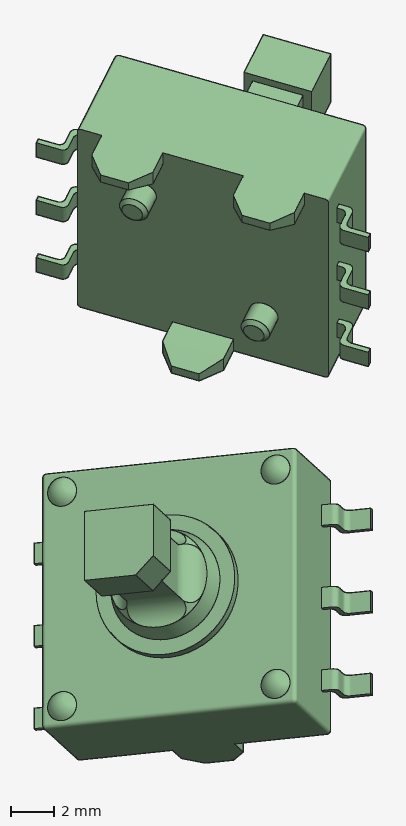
import cadquery as cq
import math


housing_side = 12.4
housing_depth = 5.0
housing_round = 0.2

tab_width = 3.02
tab_thickness = 0.82
tab_length = 2.3
tab_straight = 1.28
tab_tip_width = 1.38
tab_tip_thickness = 0.5
tab_offset = 3.5

peg_radius = 0.7
peg_length = 1.3
peg_chamfer = 0.2
peg_offset = 3.0

lead_span = 16.4
lead_width = 1.0
lead_thickness = 0.26
lead_pitch = 4.0
lead_top = 1.35
lead_foot_drop = 0.1
lead_shin_outer = 6.97
lead_bend_radius = 0.28

dome_offset = 5.2
dome_radius = 0.7
dome_height = 0.36

flange_radius = 3.38
flange_height = 0.5
collar_base_radius = 2.65
collar_top_radius = 2.36
collar_top = 1.5
shaft_side = 2.5
neck_radius = 1.0
neck_corner_radius = 1.89
cap_side = 3.35
cap_length = 2.5
tip_height = 7.2

half_side = housing_side / 2
actuator_end = housing_depth + tip_height


def xz_plane(y):
    """Sketch plane at height y: local x is X, local y is Z, and extrusion goes along +Y."""
    return cq.Workplane(cq.Plane(origin=(0, y, 0), xDir=(1, 0, 0), normal=(0, 1, 0)))


def block(width, height, y_start, length):
    return xz_plane(y_start).rect(width, height).extrude(length)


def rod(radius, y_start, length):
    return xz_plane(y_start).circle(radius).extrude(length)


def make_housing():
    housing = block(housing_side, housing_side, 0, housing_depth)
    housing = housing.edges("|Y").fillet(housing_round)
    return housing.faces(">Y").edges().fillet(housing_round)


def make_tab():
    """Tab flush with the +Z face: its tip narrows from both sides and thins from the inner face."""
    outline = (
        cq.Workplane("XY")
        .workplane(offset=half_side - tab_thickness)
        .moveTo(-tab_width / 2, 0)
        .lineTo(-tab_width / 2, -tab_straight)
        .lineTo(-tab_tip_width / 2, -tab_length)
        .lineTo(tab_tip_width / 2, -tab_length)
        .lineTo(tab_width / 2, -tab_straight)
        .lineTo(tab_width / 2, 0)
        .close()
        .extrude(tab_thickness)
    )
    profile = (
        cq.Workplane("YZ")
        .moveTo(0, half_side)
        .lineTo(-tab_length, half_side)
        .lineTo(-tab_length, half_side - tab_tip_thickness)
        .lineTo(-tab_straight, half_side - tab_thickness)
        .lineTo(0, half_side - tab_thickness)
        .close()
        .extrude(tab_width / 2, both=True)
    )
    return outline.intersect(profile)


def make_peg():
    return rod(peg_radius, -peg_length, peg_length).faces("<Y").chamfer(peg_chamfer)


def make_lead():
    """Gull-wing lead on the +X side, centred on Z = 0."""
    shin_inner = lead_shin_outer - lead_thickness
    foot_top = lead_thickness - lead_foot_drop
    lead = (
        cq.Workplane("XY")
        .workplane(offset=-lead_width / 2)
        .moveTo(half_side, lead_top)
        .lineTo(lead_shin_outer, lead_top)
        .lineTo(lead_shin_outer, foot_top)
        .lineTo(lead_span / 2, foot_top)
        .lineTo(lead_span / 2, -lead_foot_drop)
        .lineTo(shin_inner, -lead_foot_drop)
        .lineTo(shin_inner, lead_top - lead_thickness)
        .lineTo(half_side, lead_top - lead_thickness)
        .close()
        .extrude(lead_width)
    )
    clearance = lead_thickness / 2
    bends = cq.selectors.BoxSelector(
        (half_side + clearance, -lead_span, -lead_span),
        (lead_span / 2 - clearance, lead_span, lead_span),
    )
    return lead.edges("|Z").edges(bends).fillet(lead_bend_radius)


def make_dome():
    sphere_radius = (dome_radius**2 + dome_height**2) / (2 * dome_height)
    ball = cq.Workplane("XY").sphere(sphere_radius)
    return ball.translate((0, housing_depth + dome_height - sphere_radius, 0))


def revolve_about_y(profile):
    return profile.close().revolve(360, (0, 0, 0), (0, 1, 0))


def make_neck(base):
    """Concave flare that blends the square shaft into the round top of the collar at Y = base."""
    half_shaft = shaft_side / 2
    neck_top = base + neck_radius
    toe = half_shaft + neck_radius
    arc_inset = neck_radius * (1 - math.sqrt(0.5))
    cove = (
        cq.Workplane("XY")
        .moveTo(-toe, base)
        .threePointArc((-half_shaft - arc_inset, base + arc_inset), (-half_shaft, neck_top))
        .lineTo(half_shaft, neck_top)
        .threePointArc((half_shaft + arc_inset, base + arc_inset), (toe, base))
        .close()
        .extrude(toe, both=True)
    )
    square_flare = cove.intersect(cove.rotate((0, 0, 0), (0, 1, 0), 90))
    round_flare = revolve_about_y(
        cq.Workplane("XY")
        .moveTo(0, base)
        .lineTo(collar_top_radius, base)
        .radiusArc((half_shaft * math.sqrt(2), neck_top), neck_corner_radius)
        .lineTo(0, neck_top)
    )
    return square_flare.intersect(round_flare)


def make_collar(base):
    top = housing_depth + collar_top
    return revolve_about_y(
        cq.Workplane("XY")
        .moveTo(0, base)
        .lineTo(collar_base_radius, base)
        .lineTo(collar_top_radius, top)
        .lineTo(0, top)
    )


def make_cap():
    """Square cap with one lower corner cut back to the corner of the shaft."""
    cap = block(cap_side, cap_side, actuator_end - cap_length, cap_length)
    return cap.edges("|Y").edges("<X").edges("<Z").chamfer(cap_side - shaft_side)


def make_actuator():
    collar_start = housing_depth + flange_height
    collar_end = housing_depth + collar_top
    shaft_length = actuator_end - cap_length - collar_end
    flange = rod(flange_radius, housing_depth, flange_height)
    shaft = block(shaft_side, shaft_side, collar_end, shaft_length)
    stem = flange.union(make_collar(collar_start)).union(make_neck(collar_end))
    return stem.union(shaft).union(make_cap())


result = make_housing().union(make_actuator())

tab = make_tab()
for x in (-tab_offset, tab_offset):
    result = result.union(tab.translate((x, 0, 0)))
result = result.union(tab.mirror("XY"))

peg = make_peg()
for side in (-1, 1):
    result = result.union(peg.translate((side * peg_offset, 0, -side * peg_offset)))

right_lead = make_lead()
for lead in (right_lead, right_lead.mirror("YZ")):
    for row in (-1, 0, 1):
        result = result.union(lead.translate((0, 0, row * lead_pitch)))

dome = make_dome()
for x in (-dome_offset, dome_offset):
    for z in (-dome_offset, dome_offset):
        result = result.union(dome.translate((x, 0, z)))